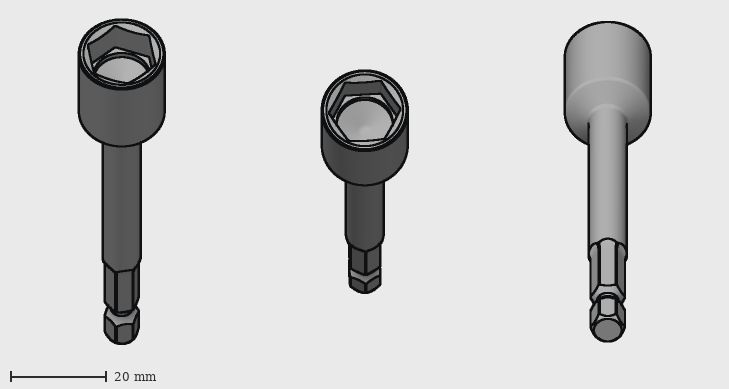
import cadquery as cq
import math

total_length = 100.0
shank_tip_z = 0.0

head_radius = 9.0
head_bottom_z = 79.1
head_blend_radius = 1.0
rim_chamfer = 0.3
cone_angle = 32.0

socket_flats = 13.0
socket_depth = 8.0
socket_corner_radius = 0.5
mouth_radius = 8.0
mouth_angle = 30.0
recess_radius = 5.9
recess_depth = 1.5
recess_cone_angle = 30.0

shaft_radius = 4.0

shank_flats = 6.4
shank_corner_radius = 3.6
flare_start_z = 25.3
flare_radius = 4.0
tip_radius = 2.9
tip_chamfer_height = 1.4

groove_bottom_z = 7.0
groove_top_z = 12.1
neck_radius = 2.3
neck_bottom_z = 9.2
neck_top_z = 10.4
flank_bulge = 0.2

SIDES = 6
CUT_MARGIN = 5.0
EDGE_TOLERANCE = 0.1


def revolve(profile):
    """Turn a closed radius-height profile about the Z axis."""
    return profile.close().revolve(360, (0, 0, 0), (0, 1, 0))


def hex_prism(across_flats, bottom_z, height):
    """Make a hexagonal prism with two corners on the X axis."""
    corner_diameter = across_flats / math.cos(math.pi / SIDES)
    return cq.Workplane("XY", origin=(0, 0, bottom_z)).polygon(SIDES, corner_diameter).extrude(height)


def make_body():
    """Round shaft and head joined by a cone with rounded edges."""
    cone_height = (head_radius - shaft_radius) * math.tan(math.radians(cone_angle))
    cone_bottom_z = head_bottom_z - cone_height
    profile = (
        cq.Workplane("XZ")
        .moveTo(0, shank_tip_z)
        .lineTo(shaft_radius, shank_tip_z)
        .lineTo(shaft_radius, cone_bottom_z)
        .lineTo(head_radius, head_bottom_z)
        .lineTo(head_radius, total_length - rim_chamfer)
        .lineTo(head_radius - rim_chamfer, total_length)
        .lineTo(0, total_length)
    )
    body = revolve(profile)
    blend_limit = head_radius + CUT_MARGIN
    blend_edges = cq.selectors.BoxSelector(
        (-blend_limit, -blend_limit, cone_bottom_z - EDGE_TOLERANCE),
        (blend_limit, blend_limit, head_bottom_z + EDGE_TOLERANCE),
        boundingbox=True,
    )
    return body.edges(blend_edges).edges("%CIRCLE").fillet(head_blend_radius)



def flare_profile(inner_distance):
    """Outline of the material outside a shank face that curves out to the shaft."""
    outer_distance = shaft_radius + CUT_MARGIN
    end_distance = inner_distance + flare_radius
    middle = flare_radius * math.sqrt(0.5)
    return (
        cq.Workplane("XZ")
        .moveTo(inner_distance, shank_tip_z - CUT_MARGIN)
        .lineTo(inner_distance, flare_start_z)
        .threePointArc(
            (end_distance - middle, flare_start_z + middle),
            (end_distance, flare_start_z + flare_radius),
        )
        .lineTo(outer_distance, flare_start_z + flare_radius)
        .lineTo(outer_distance, shank_tip_z - CUT_MARGIN)
    )


def cut_shank(body):
    """Cut six flared flats and trim the corners to a round envelope."""
    body = body.cut(revolve(flare_profile(shank_corner_radius)))
    flat_cutter = flare_profile(shank_flats / 2).close().extrude(shaft_radius * 2, both=True)
    for side in range(SIDES):
        angle = (side + 0.5) * 360 / SIDES
        body = body.cut(flat_cutter.rotate((0, 0, 0), (0, 0, 1), angle))
    return body


def cut_tip(body):
    """Bevel the corners at the free end of the shank."""
    profile = (
        cq.Workplane("XZ")
        .moveTo(tip_radius, shank_tip_z)
        .lineTo(shank_corner_radius, tip_chamfer_height)
        .lineTo(shaft_radius, tip_chamfer_height)
        .lineTo(shaft_radius, shank_tip_z)
    )
    return body.cut(revolve(profile))


def cut_groove(body):
    """Cut a groove whose concave flanks run smoothly into a straight neck."""
    middle_radius = (neck_radius + shank_corner_radius) / 2 - flank_bulge
    profile = (
        cq.Workplane("XZ")
        .moveTo(shank_corner_radius, groove_bottom_z)
        .threePointArc((middle_radius, (groove_bottom_z + neck_bottom_z) / 2), (neck_radius, neck_bottom_z))
        .lineTo(neck_radius, neck_top_z)
        .threePointArc((middle_radius, (groove_top_z + neck_top_z) / 2), (shank_corner_radius, groove_top_z))
        .lineTo(shaft_radius, groove_top_z)
        .lineTo(shaft_radius, groove_bottom_z)
    )
    return body.cut(revolve(profile))


def cut_socket(body):
    """Cut the hexagonal socket, its conical mouth and the recess in its floor."""
    floor_z = total_length - socket_depth
    socket = hex_prism(socket_flats, floor_z, socket_depth).rotate((0, 0, 0), (0, 0, 1), 180 / SIDES)
    socket = socket.edges("|Z").fillet(socket_corner_radius)
    mouth_depth = mouth_radius * math.tan(math.radians(mouth_angle))
    mouth = revolve(
        cq.Workplane("XZ")
        .moveTo(0, total_length)
        .lineTo(mouth_radius, total_length)
        .lineTo(0, total_length - mouth_depth)
    )
    recess_bottom_z = floor_z - recess_depth
    recess_cone_depth = recess_radius * math.tan(math.radians(recess_cone_angle))
    recess = revolve(
        cq.Workplane("XZ")
        .moveTo(0, floor_z)
        .lineTo(recess_radius, floor_z)
        .lineTo(recess_radius, recess_bottom_z)
        .lineTo(0, recess_bottom_z - recess_cone_depth)
    )
    return body.cut(socket).cut(mouth).cut(recess)


result = cut_socket(cut_groove(cut_tip(cut_shank(make_body()))))